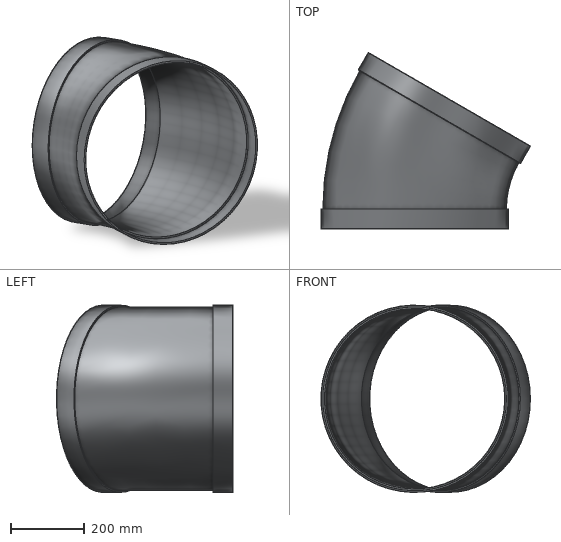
import cadquery as cq

bend_angle = 30.0
bend_radius = 501.5
collar_length = 55.0
collar_outer_diameter = 510.0
wall = 4.85
joint_lap = 1.0

pipe_outer_diameter = collar_outer_diameter - 2 * wall
pipe_bore_diameter = pipe_outer_diameter - 2 * wall

bend_start = cq.Plane(origin=(0, collar_length, 0), xDir=(1, 0, 0), normal=(0, 1, 0))
bend_center = (bend_radius, collar_length)


def ring(outer_diameter, bore_diameter):
    """Concentric circles that bound a wall, drawn where the bend starts."""
    return cq.Workplane(bend_start).circle(outer_diameter / 2).circle(bore_diameter / 2)


def turn_to_outlet(body):
    """Swing a body around the bend axis, from the start of the bend to its end."""
    axis_start = (*bend_center, 0)
    axis_end = (*bend_center, 1)
    return body.rotate(axis_start, axis_end, -bend_angle)


def end_fitting(direction):
    """Collar with its seated pipe end, running along +Y (1) or -Y (-1) from the bend start."""
    collar = ring(collar_outer_diameter, pipe_outer_diameter).extrude(direction * collar_length)
    pipe_end = ring(pipe_outer_diameter, pipe_bore_diameter).extrude(direction * joint_lap)
    return collar.union(pipe_end)


def bend():
    """Curved pipe that turns from the +Y direction towards +X."""
    section = ring(pipe_outer_diameter, pipe_bore_diameter)
    return section.revolve(bend_angle, (bend_radius, 0, 0), (bend_radius, 1, 0))


inlet = end_fitting(-1)
outlet = turn_to_outlet(end_fitting(1))
result = bend().union(inlet).union(outlet)